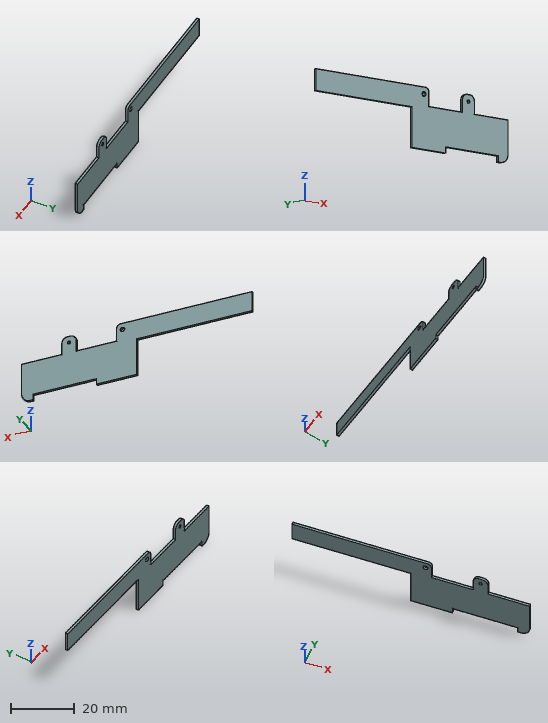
import cadquery as cq

length = 80.0
height = 20.0
thickness = 0.9

arm_bottom = 13.0
arm_end = 47.0
arm_corner_radius = 1.5

body_left = 40.0
body_top = 14.0
body_corner_radius = 3.0

notch_start = 54.0
notch_end = 76.0
notch_depth = 2.0

tab_left = 61.0
tab_width = 5.0
tab_corner_radius = 2.0
tab_center = tab_left + tab_width / 2

hole_height = 17.75
arm_hole_x = 44.95
arm_hole_diameter = 1.5
tab_hole_diameter = 1.0


def block(x_min, x_max, z_min, z_max):
    """Full-thickness rectangular plate, with its front face at Y = 0."""
    return (
        cq.Workplane("XY")
        .box(x_max - x_min, thickness, z_max - z_min, centered=False)
        .translate((x_min, 0, z_min))
    )


def hole_cutter(x, z, diameter):
    """Cylinder along Y that cuts a hole through the full thickness."""
    return (
        cq.Workplane("XZ", origin=(x, 0, z))
        .circle(diameter / 2)
        .extrude(-thickness)
    )


def make_arm():
    arm = block(0, arm_end, arm_bottom, height)
    return arm.edges("|Y and >X and >Z").fillet(arm_corner_radius)


def make_body():
    body = block(body_left, length, 0, body_top)
    body = body.edges("|Y and >X and <Z").fillet(body_corner_radius)
    return body.cut(block(notch_start, notch_end, 0, notch_depth))


def make_tab():
    tab = block(tab_left, tab_left + tab_width, body_top, height)
    return tab.edges("|Y and >Z").fillet(tab_corner_radius)


plate = make_arm().union(make_body()).union(make_tab())
plate = plate.cut(hole_cutter(arm_hole_x, hole_height, arm_hole_diameter))
result = plate.cut(hole_cutter(tab_center, hole_height, tab_hole_diameter))